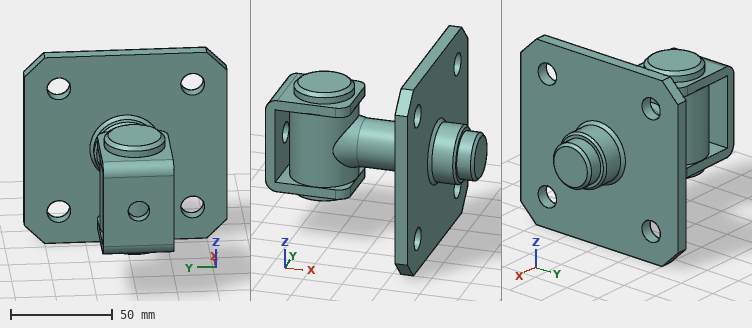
import cadquery as cq
import math


pin_radius = 15.0
head_height = 5.3
head_chamfer = 1.9
foot_height = 3.2
dome_height = 3.6

bracket_back = 24.95
bracket_width = 34.8
bracket_height = 49.1
bracket_wall = 5.1
bracket_radius = 6.0
bracket_hole_diameter = 10.5

eye_radius = 17.1
eye_height = bracket_height - 2 * bracket_wall
shaft_radius = 12.1
shaft_end = 105.5 - bracket_back
shaft_chamfer = 1.5
neck_end = 20.6
neck_start = 5.3
neck_slope = 0.21
neck_radius = shaft_radius + neck_slope * (neck_end - neck_start)

plate_side = 100.0
plate_thickness = 6.4
plate_front = 51.9
plate_back = plate_front + plate_thickness
plate_corner = 10.0
plate_hole_diameter = 11.6
plate_hole_spacing = 66.0
collar_start = 45.9
collar_radius = 16.0
bush_end = 72.0
bush_radius = 15.0
bush_chamfer = 1.2
weld_length = 1.7


def make_bracket():
    """U-shaped bracket with rounded bends, pin bores and a hole in its back."""
    length = bracket_back + eye_radius
    middle_x = (eye_radius - bracket_back) / 2
    body = (
        cq.Workplane("XY")
        .box(length, bracket_width, bracket_height)
        .edges("<X and |Y").fillet(bracket_radius)
        .edges(">X and |Z").fillet(bracket_radius)
        .translate((middle_x, 0, 0))
    )
    opening = (
        cq.Workplane("XY")
        .box(length, bracket_width, eye_height)
        .translate((middle_x + bracket_wall, 0, 0))
    )
    pin_bore = cq.Workplane("XY").circle(pin_radius).extrude(bracket_height, both=True)
    back_hole = (
        cq.Workplane("YZ", origin=(-bracket_back, 0, 0))
        .circle(bracket_hole_diameter / 2)
        .extrude(bracket_wall)
    )
    return body.cut(opening).cut(pin_bore).cut(back_hole)


def make_pin():
    """Straight pin with a chamfered top and a domed bottom."""
    top = bracket_height / 2 + head_height
    dome_start = -bracket_height / 2 - foot_height
    dome_tip = dome_start - dome_height
    dome_radius = (pin_radius**2 + dome_height**2) / (2 * dome_height)
    mid_radius = pin_radius / 2
    mid_z = dome_tip + dome_radius - math.sqrt(dome_radius**2 - mid_radius**2)
    return (
        cq.Workplane("XZ")
        .moveTo(0, dome_tip)
        .threePointArc((mid_radius, mid_z), (pin_radius, dome_start))
        .lineTo(pin_radius, top - head_chamfer)
        .lineTo(pin_radius - head_chamfer, top)
        .lineTo(0, top)
        .close()
        .revolve(360, (0, 0, 0), (0, 1, 0))
    )


def make_eye_bolt():
    """Eye around the pin, with a tapered neck leading to a round shaft."""
    eye = cq.Workplane("XY").circle(eye_radius).extrude(eye_height / 2, both=True)
    shaft = (
        cq.Workplane("XY")
        .moveTo(neck_start, 0)
        .lineTo(neck_start, neck_radius)
        .lineTo(neck_end, shaft_radius)
        .lineTo(shaft_end - shaft_chamfer, shaft_radius)
        .lineTo(shaft_end, shaft_radius - shaft_chamfer)
        .lineTo(shaft_end, 0)
        .close()
        .revolve(360, (0, 0, 0), (1, 0, 0))
    )
    pin_bore = cq.Workplane("XY").circle(pin_radius).extrude(eye_height, both=True)
    return eye.union(shaft).cut(pin_bore)


def make_plate():
    """Square plate with cut corners, four holes and a bush welded through it."""
    plate = (
        cq.Workplane("YZ", origin=(plate_front, 0, 0))
        .rect(plate_side, plate_side)
        .extrude(plate_thickness)
        .edges("|X").chamfer(plate_corner)
    )
    plate_holes = (
        cq.Workplane("YZ", origin=(plate_front, 0, 0))
        .rect(plate_hole_spacing, plate_hole_spacing, forConstruction=True)
        .vertices()
        .circle(plate_hole_diameter / 2)
        .extrude(plate_thickness)
    )
    bush = (
        cq.Workplane("XY")
        .moveTo(collar_start, shaft_radius)
        .lineTo(collar_start, collar_radius - bush_chamfer)
        .lineTo(collar_start + bush_chamfer, collar_radius)
        .lineTo(plate_front - weld_length, collar_radius)
        .lineTo(plate_front, collar_radius + weld_length)
        .lineTo(plate_back, bush_radius + weld_length)
        .lineTo(plate_back + weld_length, bush_radius)
        .lineTo(bush_end - bush_chamfer, bush_radius)
        .lineTo(bush_end, bush_radius - bush_chamfer)
        .lineTo(bush_end, shaft_radius)
        .close()
        .revolve(360, (0, 0, 0), (1, 0, 0))
    )
    shaft_bore = (
        cq.Workplane("YZ", origin=(collar_start, 0, 0))
        .circle(shaft_radius)
        .extrude(bush_end - collar_start)
    )
    return plate.cut(plate_holes).union(bush).cut(shaft_bore)


bracket = make_bracket()
pin = make_pin()
eye_bolt = make_eye_bolt()
plate = make_plate()

bodies = [bracket, pin, eye_bolt, plate]
result = cq.Compound.makeCompound([body.solids().val() for body in bodies])